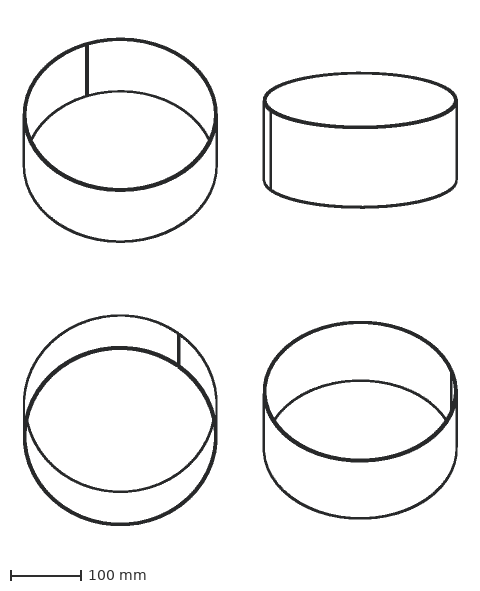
import cadquery as cq

outer_diameter = 275.0
height = 120.0
wall = 2.5
bevel_depth = 0.5
outer_bevel_height = 1.6
inner_bevel_height = 0.5
gap_width = 2.2

outer_radius = outer_diameter / 2
inner_radius = outer_radius - wall
rim_outer_radius = outer_radius - bevel_depth
rim_inner_radius = inner_radius + bevel_depth


def make_band():
    """Revolved wall section, with a steep outer and a small inner bevel on each rim."""
    section = (
        cq.Workplane("XZ")
        .moveTo(rim_inner_radius, 0)
        .lineTo(rim_outer_radius, 0)
        .lineTo(outer_radius, outer_bevel_height)
        .lineTo(outer_radius, height - outer_bevel_height)
        .lineTo(rim_outer_radius, height)
        .lineTo(rim_inner_radius, height)
        .lineTo(inner_radius, height - inner_bevel_height)
        .lineTo(inner_radius, inner_bevel_height)
        .close()
    )
    return section.revolve(360, (0, 0, 0), (0, 1, 0))


def make_gap():
    """Narrow block through the -X wall, with one side on the XZ plane."""
    gap_length = 4 * wall
    return cq.Workplane("XY").box(
        gap_length, gap_width, height, centered=(True, False, False)
    ).translate((-outer_radius, 0, 0))


result = make_band().cut(make_gap())